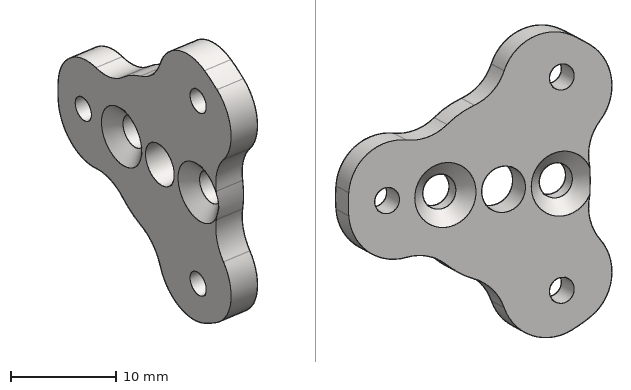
import cadquery as cq
import math

thickness = 3.15
body_radius = 9.0
tip_radius = 16.0
corner_radius = 5.03
corner_offset = 0.77
fillet_radius = 5.05
lobe_angles = (60, 180, 300)
half_pitch = math.radians(180 / len(lobe_angles))

center_hole_diameter = 4.5
lobe_hole_diameter = 2.53
lobe_hole_radius = 12.0
screw_hole_diameter = 3.4
countersink_diameter = 6.3
countersink_angle = 90
screw_hole_spacing = lobe_hole_radius


def polar(radius, angle):
    return (radius * math.cos(angle), radius * math.sin(angle))


def lobe_half_points():
    """Points from tip to body on the upper half of a lobe pointing along +x.

    Arc ends alternate with points halfway along each arc.
    """
    corner_distance = tip_radius - corner_radius
    corner_angle = math.asin(corner_offset / corner_distance)
    corner = polar(corner_distance, corner_angle)

    fillet_distance = body_radius + fillet_radius
    corner_to_fillet = corner_radius + fillet_radius
    cosine = (fillet_distance**2 + corner_distance**2 - corner_to_fillet**2) / (
        2 * fillet_distance * corner_distance
    )
    body_angle = corner_angle + math.acos(cosine)
    fillet = polar(fillet_distance, body_angle)
    blend_angle = math.atan2(fillet[1] - corner[1], fillet[0] - corner[0])

    def on_corner(angle):
        x, y = polar(corner_radius, angle)
        return (corner[0] + x, corner[1] + y)

    def on_fillet(angle):
        x, y = polar(fillet_radius, angle)
        return (fillet[0] + x, fillet[1] + y)

    fillet_start = blend_angle - math.pi
    fillet_end = body_angle - math.pi
    return [
        polar(tip_radius, 0),
        polar(tip_radius, corner_angle),
        on_corner((corner_angle + blend_angle) / 2),
        on_corner(blend_angle),
        on_fillet((fillet_start + fillet_end) / 2),
        polar(body_radius, body_angle),
        polar(body_radius, half_pitch),
    ]


def outline_points():
    """Points around the whole outline, starting where a fillet meets the body."""
    upper = lobe_half_points()
    lower = [(x, -y) for x, y in reversed(upper[1:])]
    points = []
    for angle in lobe_angles:
        turn = math.radians(angle)
        for x, y in lower[1:] + upper:
            points.append(
                (
                    x * math.cos(turn) - y * math.sin(turn),
                    x * math.sin(turn) + y * math.cos(turn),
                )
            )
    return points


def make_plate():
    points = outline_points()
    sketch = cq.Workplane("XZ").moveTo(*points[0])
    closed = points[1:] + points[:1]
    for middle, end in zip(closed[0::2], closed[1::2]):
        sketch = sketch.threePointArc(middle, end)
    return sketch.close().extrude(thickness)


front = cq.Workplane("XZ", origin=(0, -thickness, 0))

result = make_plate()

lobe_hole_points = [polar(lobe_hole_radius, math.radians(angle)) for angle in lobe_angles]
result = result.cut(front.circle(center_hole_diameter / 2).extrude(-thickness))
result = result.cut(front.pushPoints(lobe_hole_points).circle(lobe_hole_diameter / 2).extrude(-thickness))

screw_points = [(-screw_hole_spacing / 2, 0), (screw_hole_spacing / 2, 0)]
result = (
    result.copyWorkplane(front)
    .pushPoints(screw_points)
    .cskHole(screw_hole_diameter, countersink_diameter, countersink_angle)
)